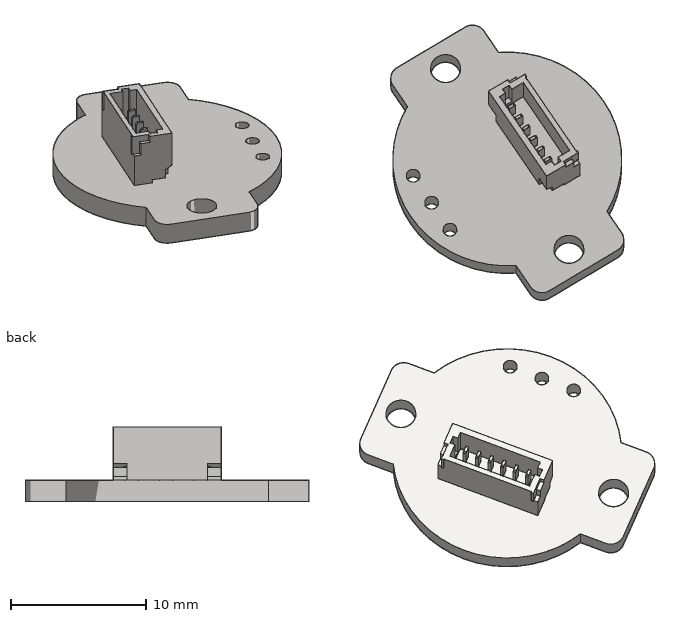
import cadquery as cq

board_length = 21.0
board_diameter = 16.97
board_thickness = 1.6
ear_width = 8.0
ear_corner_radius = 1.0
mount_hole_diameter = 2.2
mount_hole_x = 8.5
wire_hole_diameter = 1.0
wire_hole_count = 3
wire_hole_pitch = 2.55
wire_hole_row_x = 0.08
wire_hole_y = 6.6

housing_length = 8.0
housing_depth = 2.92
housing_height = 3.95
housing_front_y = -3.82
housing_back_y = housing_front_y + housing_depth
housing_top = board_thickness + housing_height
housing_end_x = housing_length / 2

socket_length = 6.38
socket_front_wall = 0.38
socket_back_wall = 0.46
socket_floor = 1.0
key_slot_depth = 0.38
key_slot_width = 0.57
key_slot_front = 1.39
key_slot_floor = 1.47

end_recess_depth = 0.32
end_recess_upper_width = 1.22
end_recess_upper_height = 0.5
end_recess_lower_width = 0.5
end_recess_height = 1.47
lip_width = 0.19
lip_projection = 0.08

relief_depth = 1.0
relief_back_height = 1.24
relief_step_height = 0.92
relief_step_width = 0.5
relief_foot_height = 0.25
relief_foot_width = 1.51

pin_count = 6
pin_row_length = 5.0
pin_pitch = pin_row_length / (pin_count - 1)
pin_width = 0.2
pin_depth = 0.55
pin_height = 1.68
pin_chamfer = 0.13
pin_front_offset = 1.55


def centred_row(count, pitch):
    """Positions of a row of equally spaced items centred on zero."""
    return [(i - (count - 1) / 2) * pitch for i in range(count)]


def block(x_min, x_max, y_min, y_max, z_min, z_max):
    """Box between the given limits."""
    size = (x_max - x_min, y_max - y_min, z_max - z_min)
    return cq.Workplane("XY").box(*size, centered=False).translate((x_min, y_min, z_min))


def end_prism(profile, x_start, length):
    """YZ profile extruded along +X from x_start."""
    return cq.Workplane("YZ", origin=(x_start, 0, 0)).polyline(profile).close().extrude(length)


def both_ends(left_shape):
    """The shape at the -X end together with its mirror image at the +X end."""
    return [left_shape, left_shape.mirror("YZ")]


def make_board():
    disc = cq.Workplane("XY").circle(board_diameter / 2).extrude(board_thickness)
    ears = cq.Workplane("XY").rect(board_length, ear_width).extrude(board_thickness)
    ears = ears.edges("|Z").fillet(ear_corner_radius)
    mount_points = [(-mount_hole_x, 0), (mount_hole_x, 0)]
    wire_points = [
        (wire_hole_row_x + x, wire_hole_y) for x in centred_row(wire_hole_count, wire_hole_pitch)
    ]
    mount_holes = (
        cq.Workplane("XY").pushPoints(mount_points).circle(mount_hole_diameter / 2).extrude(board_thickness)
    )
    wire_holes = (
        cq.Workplane("XY").pushPoints(wire_points).circle(wire_hole_diameter / 2).extrude(board_thickness)
    )
    return disc.union(ears).cut(mount_holes).cut(wire_holes)


def make_socket():
    floor_z = board_thickness + socket_floor
    half_length = socket_length / 2
    cavity = block(
        -half_length, half_length,
        housing_front_y + socket_front_wall, housing_back_y - socket_back_wall,
        floor_z, housing_top,
    )
    slot_reach = half_length + key_slot_depth
    slot_front_y = housing_front_y + key_slot_front
    key_slots = block(
        -slot_reach, slot_reach,
        slot_front_y, slot_front_y + key_slot_width,
        board_thickness + key_slot_floor, housing_top,
    )
    return cavity.union(key_slots)


def make_end_recess():
    lower_z = housing_top - end_recess_height
    step_z = housing_top - end_recess_upper_height
    lower_back_y = housing_front_y + end_recess_lower_width
    upper_back_y = housing_front_y + end_recess_upper_width
    profile = [
        (housing_front_y, lower_z),
        (lower_back_y, lower_z),
        (lower_back_y, step_z),
        (upper_back_y, step_z),
        (upper_back_y, housing_top),
        (housing_front_y, housing_top),
    ]
    return end_prism(profile, -housing_end_x, end_recess_depth)


def make_lip():
    lip_start = -housing_end_x + end_recess_depth
    return block(
        lip_start, lip_start + lip_width,
        housing_front_y - lip_projection, housing_front_y,
        housing_top - end_recess_height, housing_top,
    )


def make_end_relief():
    step_y = housing_back_y - relief_step_width
    foot_y = housing_back_y - relief_foot_width
    profile = [
        (housing_back_y, board_thickness),
        (housing_back_y, board_thickness + relief_back_height),
        (step_y, board_thickness + relief_step_height),
        (step_y, board_thickness + relief_foot_height),
        (foot_y, board_thickness + relief_foot_height),
        (foot_y, board_thickness),
    ]
    return end_prism(profile, -housing_end_x, relief_depth)


def make_pin(x):
    front_y = housing_front_y + pin_front_offset
    floor_z = board_thickness + socket_floor
    pin = block(
        x - pin_width / 2, x + pin_width / 2,
        front_y, front_y + pin_depth,
        floor_z, floor_z + pin_height,
    )
    return pin.faces(">Z").edges("<Y").chamfer(pin_chamfer)


def make_connector():
    connector = block(
        -housing_end_x, housing_end_x, housing_front_y, housing_back_y, board_thickness, housing_top
    )
    connector = connector.cut(make_socket())
    for cutter in both_ends(make_end_recess()) + both_ends(make_end_relief()):
        connector = connector.cut(cutter)
    for lip in both_ends(make_lip()):
        connector = connector.union(lip)
    for x in centred_row(pin_count, pin_pitch):
        connector = connector.union(make_pin(x))
    return connector


board = make_board()
connector = make_connector()

result = cq.Compound.makeCompound([board.val(), connector.val()])